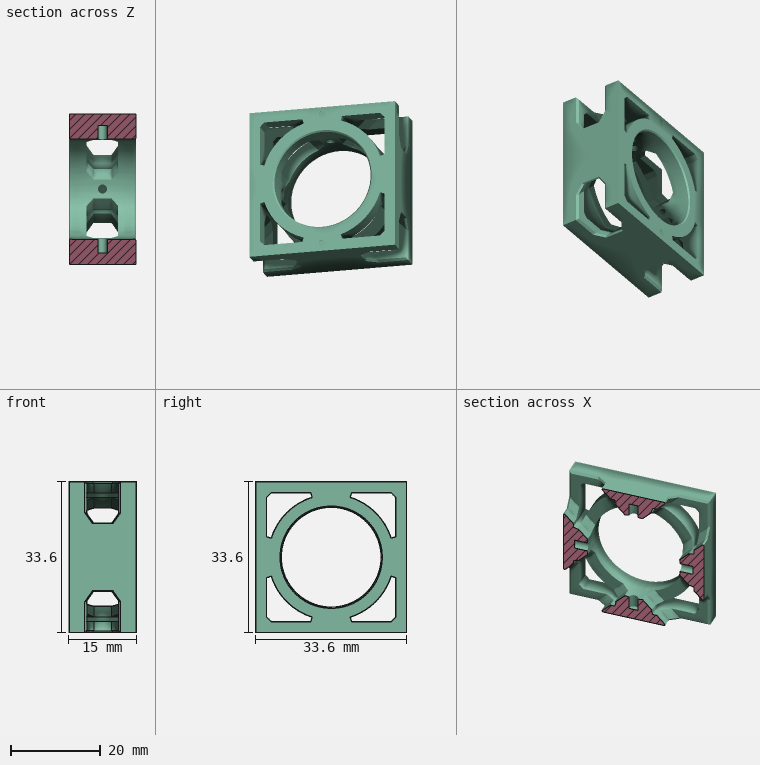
import math

import cadquery as cq

side = 33.6
depth = 15.0
half_side = side / 2
half_depth = depth / 2

bore_diameter = 22.2
bore_chamfer = 0.3

frame_wall = 2.45
ring_radius = 14.0
spoke_half_angle = math.radians(17.7)
pocket_chamfer = 1.0

window_width = 7.0
window_length = 12.5
window_corner = 1.5
window_edge_chamfer = 0.5

radial_hole_diameter = 2.0
radial_hole_depth = 3.02

mark_diameter = 1.55
mark_offset = 15.05
mark_depth = 0.07

tolerance = 0.0005


def make_body():
    return cq.Workplane("XY").box(depth, side, side)


def make_window(diagonal_angle):
    """Octagonal prism through the body along a diagonal of the YZ square."""
    return (
        cq.Workplane("XY")
        .box(window_width, window_length, 2 * side)
        .edges("|Z")
        .chamfer(window_corner)
        .rotate((0, 0, 0), (1, 0, 0), diagonal_angle)
    )


def is_window_rim(edge):
    """True for an edge within an outer side face that is not on the body's outline."""
    center = edge.Center()
    on_y_face = abs(abs(center.y) - half_side) < tolerance
    on_z_face = abs(abs(center.z) - half_side) < tolerance
    within_depth = abs(center.x) < half_depth - tolerance
    is_body_corner = on_y_face and on_z_face
    return within_depth and (on_y_face or on_z_face) and not is_body_corner


def chamfer_window_rims(body):
    edges = [edge for edge in body.edges().vals() if is_window_rim(edge)]
    return body.newObject(edges).chamfer(window_edge_chamfer)


def make_pocket():
    """Pocket in the +Y +Z corner, bounded by the frame, two spokes and the ring."""
    inner = half_side - frame_wall
    spoke_y = inner * math.tan(spoke_half_angle)
    arc_near = ring_radius * math.sin(spoke_half_angle)
    arc_far = ring_radius * math.cos(spoke_half_angle)
    arc_middle = ring_radius * math.sqrt(0.5)
    return (
        cq.Workplane("YZ")
        .workplane(offset=-half_depth)
        .moveTo(arc_near, arc_far)
        .lineTo(spoke_y, inner)
        .lineTo(inner - pocket_chamfer, inner)
        .lineTo(inner, inner - pocket_chamfer)
        .lineTo(inner, spoke_y)
        .lineTo(arc_far, arc_near)
        .threePointArc((arc_middle, arc_middle), (arc_near, arc_far))
        .close()
        .extrude(depth)
    )


def make_bore():
    """Bore with a chamfer at both mouths, as one revolved cutter."""
    radius = bore_diameter / 2
    mouth_radius = radius + bore_chamfer
    return (
        cq.Workplane("XY")
        .moveTo(-half_depth, 0)
        .lineTo(-half_depth, mouth_radius)
        .lineTo(-half_depth + bore_chamfer, radius)
        .lineTo(half_depth - bore_chamfer, radius)
        .lineTo(half_depth, mouth_radius)
        .lineTo(half_depth, 0)
        .close()
        .revolve(360, (0, 0, 0), (1, 0, 0))
    )


def make_radial_hole():
    """Cutter reaching from the axis to the blind end of the hole above it."""
    reach = bore_diameter / 2 + radial_hole_depth
    return cq.Workplane("XY").circle(radial_hole_diameter / 2).extrude(reach)


def make_marks():
    return (
        cq.Workplane("YZ")
        .workplane(offset=-half_depth)
        .pushPoints([(0, mark_offset), (0, -mark_offset)])
        .circle(mark_diameter / 2)
        .extrude(mark_depth)
    )


def turned_about_bore(shape, quarter_turns):
    return shape.rotate((0, 0, 0), (1, 0, 0), 90 * quarter_turns)


result = make_body()
for diagonal_angle in (45, -45):
    result = result.cut(make_window(diagonal_angle))
result = chamfer_window_rims(result)
result = result.cut(make_bore())
for quarter in range(4):
    result = result.cut(turned_about_bore(make_pocket(), quarter))
    result = result.cut(turned_about_bore(make_radial_hole(), quarter))
result = result.cut(make_marks())